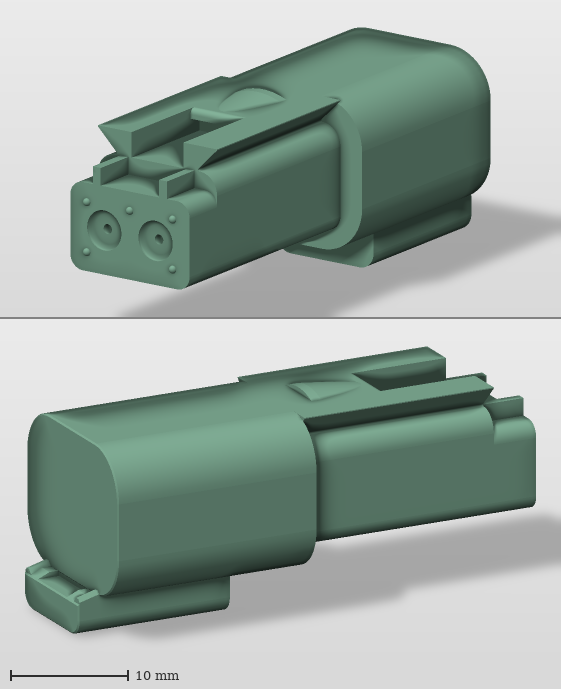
import cadquery as cq
import math

OVERLAP = 0.45

SHELL_WIDTH = 17.05
SHELL_FRONT = 22.25
SHELL_BACK = 41.3
TOP_Z = 7.78
SHELL_BOTTOM_Z = -5.8
SHELL_RADIUS = 4.25
SHELL_BACK_CHAMFER = 0.15

BODY_HALF_WIDTH = 6.25
BODY_BOTTOM_Z = -3.95
BODY_BOTTOM_RADIUS = 1.3
SHOULDER_Z = 5.5
NOSE_LENGTH = 4.05
NOSE_TOP_Z = 3.95
NOSE_RADIUS = 1.3

RAIL_EDGE = 0.1
RAIL_FOOT_Z = 5.72
FLANK_ANGLE = math.radians(45)
FLANK_TOP_Z = TOP_Z - RAIL_EDGE
ROOT_RADIUS = (RAIL_FOOT_Z - SHOULDER_Z) / (1 + math.cos(FLANK_ANGLE))
FOOT_X = BODY_HALF_WIDTH - (FLANK_TOP_Z - RAIL_FOOT_Z) / math.tan(FLANK_ANGLE)
ROOT_CENTRE_X = FOOT_X + ROOT_RADIUS * math.sin(FLANK_ANGLE)
ROOT_CENTRE_Z = SHOULDER_Z + ROOT_RADIUS
SHOULDER_RADIUS = BODY_HALF_WIDTH - ROOT_CENTRE_X

RECESS_HALF_WIDTH = 2.7
RECESS_LIP_Y = 12.75
LIP_RADIUS = 0.52
LIP_BOTTOM_Z = 6.85
UNDERCUT_DEPTH = 1.3

RIB_INNER_X = 3.05
RIB_OUTER_X = 3.9

RAMP_HALF_WIDTH = 2.45
RAMP_HEIGHT = 0.52
RAMP_BACK = 19.6
RAMP_CREST = 18.7
RAMP_TIP = 13.65

CLIP_HALF_WIDTH = 5.05
CLIP_FRONT = 28.8
CLIP_BACK = 43.35
CLIP_BOTTOM_Z = -9.17
CLIP_RADIUS = 1.5
CLIP_BACK_CHAMFER = 0.15
CLIP_FLOOR_Z = -6.2
CHEEK_INNER_X = 4.0
CHEEK_INNER_BEVEL = 0.4
CHEEK_OUTER_BEVEL = 0.25
CHEEK_TOP_Z = -5.15
CHEEK_END_Z = -5.75
GUSSET_INNER_X = 2.7
GUSSET_FLAT_END = 42.1
GUSSET_TOP_Z = -5.72

CONTACT_PITCH = 5.37
CONTACT_RADIUS = 1.8
CONTACT_DEPTH = 0.52
CONTACT_FILLET = 0.45
PIN_RADIUS = 0.45
PIN_DEPTH = 0.87
PIP_RADIUS = 0.35
PIP_X = 4.5
PIP_Z = 2.23


def block(x0, x1, y0, y1, z0, z1):
    """Box between two opposite corners."""
    return cq.Workplane("XY").box(x1 - x0, y1 - y0, z1 - z0, centered=False).translate((x0, y0, z0))


def make_shell():
    half = SHELL_WIDTH / 2
    shell = block(-half, half, SHELL_FRONT, SHELL_BACK, SHELL_BOTTOM_Z, TOP_Z)
    shell = shell.edges("|Y").fillet(SHELL_RADIUS)
    return shell.faces(">Y").chamfer(SHELL_BACK_CHAMFER)


def make_body():
    w = BODY_HALF_WIDTH
    back = SHELL_FRONT + OVERLAP
    lower = block(-w, w, NOSE_LENGTH, back, BODY_BOTTOM_Z, SHOULDER_Z)
    lower = lower.edges("|Y and <Z").fillet(BODY_BOTTOM_RADIUS)
    lower = lower.edges("|Y and >Z").fillet(SHOULDER_RADIUS)
    nose = block(-w, w, 0, NOSE_LENGTH + OVERLAP, BODY_BOTTOM_Z, NOSE_TOP_Z)
    nose = nose.edges("|Y").fillet(NOSE_RADIUS)
    return lower.union(nose)


def make_rail():
    root_start = math.pi / 2 + FLANK_ANGLE
    root_end = math.pi * 3 / 2
    root_middle = (root_start + root_end) / 2

    def root_point(angle):
        x = ROOT_CENTRE_X + ROOT_RADIUS * math.cos(angle)
        z = ROOT_CENTRE_Z + ROOT_RADIUS * math.sin(angle)
        return (x, z)

    half_rail = (
        cq.Workplane("XZ")
        .moveTo(0, TOP_Z)
        .lineTo(BODY_HALF_WIDTH, TOP_Z)
        .lineTo(BODY_HALF_WIDTH, FLANK_TOP_Z)
        .lineTo(FOOT_X, RAIL_FOOT_Z)
        .threePointArc(root_point(root_middle), root_point(root_end))
        .lineTo(ROOT_CENTRE_X, SHOULDER_Z - OVERLAP)
        .lineTo(0, SHOULDER_Z - OVERLAP)
        .close()
        .extrude(NOSE_LENGTH - SHELL_FRONT)
        .translate((0, NOSE_LENGTH, 0))
    )
    return half_rail.union(half_rail.mirror("YZ"))


def make_recess():
    """Cutter for the latch recess, open at the front and undercut below the lip."""
    lip_back = RECESS_LIP_Y + LIP_RADIUS
    undercut_back = RECESS_LIP_Y + UNDERCUT_DEPTH
    arc_offset = LIP_RADIUS * (1 - math.sqrt(0.5))
    profile = (
        cq.Workplane("YZ")
        .moveTo(NOSE_LENGTH, SHOULDER_Z)
        .lineTo(undercut_back, SHOULDER_Z)
        .lineTo(undercut_back, LIP_BOTTOM_Z)
        .lineTo(RECESS_LIP_Y, LIP_BOTTOM_Z)
        .lineTo(RECESS_LIP_Y, TOP_Z - LIP_RADIUS)
        .threePointArc((RECESS_LIP_Y + arc_offset, TOP_Z - arc_offset), (lip_back, TOP_Z))
        .lineTo(NOSE_LENGTH, TOP_Z)
        .close()
    )
    return profile.extrude(RECESS_HALF_WIDTH, both=True)


def make_ribs():
    rib = block(RIB_INNER_X, RIB_OUTER_X, 0, NOSE_LENGTH + OVERLAP, NOSE_TOP_Z - OVERLAP, SHOULDER_Z)
    return rib.union(rib.mirror("YZ"))


def make_ramp():
    """Shallow arched ramp: a level cylinder, then one tilted down to the tip."""
    radius = (RAMP_HALF_WIDTH**2 + RAMP_HEIGHT**2) / (2 * RAMP_HEIGHT)
    axis_z = TOP_Z + RAMP_HEIGHT - radius
    slope = math.degrees(math.atan(RAMP_HEIGHT / (RAMP_CREST - RAMP_TIP)))
    reach = 2 * (RAMP_CREST - RAMP_TIP)

    level = cq.Workplane("XZ").center(0, axis_z).circle(radius).extrude(RAMP_CREST - RAMP_BACK)
    level = level.translate((0, RAMP_CREST, 0))

    crest_z = TOP_Z + RAMP_HEIGHT
    tilted = cq.Workplane("XZ").center(0, axis_z).circle(radius).extrude(reach, both=True)
    tilted = tilted.translate((0, RAMP_CREST, 0))
    tilted = tilted.rotate((0, RAMP_CREST, crest_z), (1, RAMP_CREST, crest_z), slope)

    w = RAMP_HALF_WIDTH
    above_rail = TOP_Z - OVERLAP / 2
    level = level.intersect(block(-w, w, RAMP_CREST, RAMP_BACK, above_rail, crest_z))
    tilted = tilted.intersect(block(-w, w, RAMP_TIP, RAMP_CREST, above_rail, crest_z))
    return level.union(tilted)


def make_cheek():
    """Sloping side wall behind the shell, with bevelled inner and outer edges."""
    end_y = CLIP_BACK - CLIP_BACK_CHAMFER

    def section(y, top_z):
        outline = [
            (CHEEK_INNER_X, CLIP_FLOOR_Z - OVERLAP),
            (CHEEK_INNER_X, top_z - CHEEK_INNER_BEVEL),
            (CHEEK_INNER_X + CHEEK_INNER_BEVEL, top_z),
            (CLIP_HALF_WIDTH - CHEEK_OUTER_BEVEL, top_z),
            (CLIP_HALF_WIDTH, top_z - CHEEK_OUTER_BEVEL),
            (CLIP_HALF_WIDTH, CLIP_FLOOR_Z - OVERLAP),
        ]
        return cq.Workplane("XZ", origin=(0, y, 0)).polyline(outline).close().val()

    sections = [section(SHELL_BACK - OVERLAP, CHEEK_TOP_Z), section(end_y, CHEEK_END_Z)]
    return cq.Workplane(cq.Solid.makeLoft(sections, True))


def make_gusset():
    """Wedge between a cheek and the open middle of the clip."""
    end_y = CLIP_BACK - CLIP_BACK_CHAMFER
    outline = [
        (SHELL_BACK - OVERLAP, CLIP_FLOOR_Z - OVERLAP),
        (SHELL_BACK - OVERLAP, GUSSET_TOP_Z),
        (GUSSET_FLAT_END, GUSSET_TOP_Z),
        (end_y, CLIP_FLOOR_Z),
        (end_y, CLIP_FLOOR_Z - OVERLAP),
    ]
    gusset = cq.Workplane("YZ").polyline(outline).close()
    gusset = gusset.extrude(CHEEK_INNER_X + OVERLAP - GUSSET_INNER_X)
    return gusset.translate((GUSSET_INNER_X, 0, 0))


def make_clip():
    w = CLIP_HALF_WIDTH
    pad = block(-w, w, CLIP_FRONT, CLIP_BACK, CLIP_BOTTOM_Z, CLIP_FLOOR_Z)
    pad = pad.edges("|Y and <Z").fillet(CLIP_RADIUS)
    pad = pad.faces(">Y").chamfer(CLIP_BACK_CHAMFER)
    web_top_z = SHELL_BOTTOM_Z + OVERLAP / 2
    web = block(-w, w, CLIP_FRONT, SHELL_BACK - SHELL_BACK_CHAMFER, CLIP_FLOOR_Z, web_top_z)
    side = make_cheek().union(make_gusset())
    return pad.union(web).union(side).union(side.mirror("YZ"))


def make_contact_pockets():
    """Cutter for the two dished contact pockets and the pin holes in their floors."""
    centres = [(-CONTACT_PITCH / 2, 0), (CONTACT_PITCH / 2, 0)]
    dishes = cq.Workplane("XZ").pushPoints(centres).circle(CONTACT_RADIUS).extrude(-CONTACT_DEPTH)
    dishes = dishes.faces(">Y").edges().fillet(CONTACT_FILLET)
    pins = cq.Workplane("XZ").pushPoints(centres).circle(PIN_RADIUS).extrude(-CONTACT_DEPTH - PIN_DEPTH)
    return dishes.union(pins)


def make_pips():
    """Domed pips on the mating face, as balls sunk to half their depth."""
    centres = [(-PIP_X, PIP_Z), (0, PIP_Z), (PIP_X, PIP_Z), (-PIP_X, -PIP_Z), (PIP_X, -PIP_Z)]
    pips = cq.Workplane("XY")
    for x, z in centres:
        pips = pips.add(cq.Workplane("XY").sphere(PIP_RADIUS).translate((x, 0, z)))
    return pips.combine()


result = (
    make_shell()
    .union(make_body())
    .union(make_rail())
    .cut(make_recess())
    .union(make_ribs())
    .union(make_ramp())
    .union(make_clip())
    .cut(make_contact_pockets())
    .union(make_pips())
)